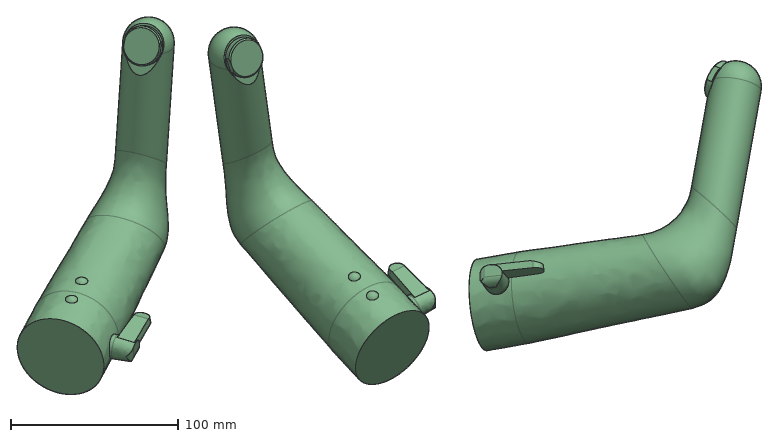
import cadquery as cq
import math


body_radius = 27.5
body_tilt = 4.0
taper_angle = 2.05
width_taper_angle = 1.8
collar_length = 26.5

tube_radius = 15.5
tube_tilt = 10.0
dome_y = 173.55 - tube_radius
dome_z = 122.5

lower_joint_y = 115.8
lower_joint_angle = 120.0
upper_joint_z = 46.0
upper_joint_angle = 135.0
bend_steps = 8
bend_back_fullness = 1.12
bend_width_settles = 0.88

seat_angle = 31.0
seat_y = 149.6
seat_z = 126.45
aerator_diameter = 24.0
aerator_height = 5.0
aerator_chamfer = 0.9
aerator_rim = 0.8
aerator_flats = 22.0

marker_radius = 3.5
marker_height = 1.5
marker_positions = (20.0, 38.0)

hub_y = 17.5
hub_z = 2.1
hub_radius = 7.4
hub_end_height = 12.6
neck_end_x = 28.8
lever_end_x = 41.41
lever_tip_y = 49.2
lever_tip_width = 10.6
lever_thickness = 6.0
lever_draft = 8.0
tip_bevel_y = 42.2
tip_bevel_angle = 15.0
hub_side_round = 3.5
hub_under_round = 5.0


def tangent(angle):
    return math.tan(math.radians(angle))


def direction(angle):
    """Unit (y, z) direction at an angle from +Y."""
    return math.cos(math.radians(angle)), math.sin(math.radians(angle))


def section(seam_point, far_point, half_width):
    """Elliptic wire across the YZ plane, with its axis ends, one at the seam, at two (y, z) points."""
    dy = seam_point[0] - far_point[0]
    dz = seam_point[1] - far_point[1]
    plane = cq.Plane(
        origin=(0, (seam_point[0] + far_point[0]) / 2, (seam_point[1] + far_point[1]) / 2),
        xDir=(0, dy, dz),
        normal=(0, -dz, dy),
    )
    return cq.Workplane(plane).ellipse(math.hypot(dy, dz) / 2, half_width).wire().val()


def crossing(start, start_angle, joint, joint_angle):
    """Point where two (y, z) lines cross."""
    ay, az = direction(start_angle)
    by, bz = direction(joint_angle)
    reach = ((joint[0] - start[0]) * bz - (joint[1] - start[1]) * by) / (ay * bz - az * by)
    return start[0] + reach * ay, start[1] + reach * az


def blend(start, start_angle, end, end_angle, t, fullness=1.0):
    """Point on a cubic close to an arc that leaves and arrives in the given directions."""
    turn = math.radians(end_angle - start_angle)
    pull = fullness * math.dist(start, end) * 2 * math.tan(turn / 4) / math.sin(turn / 2)
    weights = (2 * t**3 - 3 * t**2 + 1, t**3 - 2 * t**2 + t, 3 * t**2 - 2 * t**3, t**3 - t**2)
    leave = direction(start_angle)
    arrive = direction(end_angle)
    return tuple(
        weights[0] * start[i] + weights[1] * pull * leave[i]
        + weights[2] * end[i] + weights[3] * pull * arrive[i]
        for i in range(2)
    )


collar_half_height = body_radius / math.cos(math.radians(body_tilt))
collar_z = collar_length * tangent(body_tilt)
collar_top = (collar_length, collar_z + collar_half_height)
collar_bottom = (collar_length, collar_z - collar_half_height)
top_angle = body_tilt - taper_angle
bottom_angle = body_tilt + taper_angle
tube_angle = 90 - tube_tilt

lower_joint = (lower_joint_y, lower_joint_y * tangent(body_tilt))
lower_joint_top = crossing(collar_top, top_angle, lower_joint, lower_joint_angle)
lower_joint_bottom = crossing(collar_bottom, bottom_angle, lower_joint, lower_joint_angle)
lower_joint_half_width = body_radius - (lower_joint_y - collar_length) * tangent(width_taper_angle)

dome_center = (dome_y, dome_z)
tube_across = direction(-tube_tilt)
tube_front = tuple(dome_center[i] - tube_radius * tube_across[i] for i in range(2))
tube_back = tuple(dome_center[i] + tube_radius * tube_across[i] for i in range(2))
upper_joint = (dome_y - (dome_z - upper_joint_z) * tangent(tube_tilt), upper_joint_z)
upper_joint_front = crossing(tube_front, tube_angle, upper_joint, upper_joint_angle)
upper_joint_back = crossing(tube_back, tube_angle, upper_joint, upper_joint_angle)

seat_plane = cq.Plane(
    origin=(0, seat_y, seat_z),
    xDir=(1, 0, 0),
    normal=(0, -math.cos(math.radians(seat_angle)), math.sin(math.radians(seat_angle))),
)


def bend_section(t):
    """Section of the bend at t, from 0 at the lower joint to 1 at the upper joint."""
    front = blend(lower_joint_top, top_angle, upper_joint_front, tube_angle, t)
    back = blend(lower_joint_bottom, bottom_angle, upper_joint_back, tube_angle, t, bend_back_fullness)
    settled = min(1, t / bend_width_settles)
    ease = settled**2 * (3 - 2 * settled)
    return section(front, back, lower_joint_half_width + (tube_radius - lower_joint_half_width) * ease)


def make_marker(y):
    """Shallow dome standing on the top line of the body."""
    if y < collar_length:
        z = collar_half_height + y * tangent(body_tilt)
    else:
        z = collar_top[1] + (y - collar_length) * tangent(top_angle)
    sphere_radius = (marker_radius**2 + marker_height**2) / (2 * marker_height)
    return cq.Workplane().sphere(sphere_radius).translate((0, y, z + marker_height - sphere_radius))


def make_tube():
    """Round tube from the dome down to the slanted upper joint."""
    down = cq.Plane(
        origin=(0, dome_y, dome_z),
        xDir=(0, *tube_across),
        normal=(0, *(-part for part in direction(tube_angle))),
    )
    joint = cq.Plane(origin=(0, *upper_joint), xDir=(1, 0, 0), normal=(0, *direction(upper_joint_angle - 90)))
    full_length = 2 * (dome_z - upper_joint_z)
    tube = cq.Workplane(down).circle(tube_radius).extrude(full_length)
    above_joint = cq.Workplane(joint).rect(full_length, full_length).extrude(full_length)
    return tube.intersect(above_joint)


def make_body():
    """Collar, taper, bend, tube and dome in one solid, with the seat cut and the markers added."""
    foot = section((0, collar_half_height), (0, -collar_half_height), body_radius)
    collar = section(collar_top, collar_bottom, body_radius)
    bend = [bend_section(i / bend_steps) for i in range(bend_steps + 1)]
    dome = cq.Workplane().sphere(tube_radius).translate((0, dome_y, dome_z))
    body = cq.Workplane(cq.Solid.makeLoft([foot, collar], True))
    body = body.union(cq.Workplane(cq.Solid.makeLoft([collar, bend[0]], True)))
    body = body.union(cq.Workplane(cq.Solid.makeLoft(bend)))
    body = body.union(make_tube()).union(dome)
    in_front_of_seat = cq.Workplane(seat_plane).circle(2 * tube_radius).extrude(tube_radius)
    body = body.cut(in_front_of_seat)
    for y in marker_positions:
        body = body.union(make_marker(y))
    return body


def make_aerator():
    """Chamfered disc on the seat, with two wrench flats facing +X and -X."""
    aerator = cq.Workplane(seat_plane).circle(aerator_diameter / 2).extrude(aerator_height)
    aerator = aerator.faces(cq.selectors.DirectionMinMaxSelector(seat_plane.zDir)).chamfer(aerator_chamfer)
    flats = (
        cq.Workplane(seat_plane).workplane(offset=aerator_rim)
        .rect(2 * aerator_diameter, 2 * aerator_diameter)
        .rect(aerator_flats, 2 * aerator_diameter)
        .extrude(aerator_height)
    )
    return aerator.cut(flats)


def rounded_corner(sketch, corner_x, corner, radius):
    """Cut path that follows a quarter round, then closes through the sharp outer corner."""
    mid = radius * (1 - math.sqrt(0.5))
    return (
        sketch.moveTo(corner_x, corner + radius)
        .threePointArc((corner_x - mid, corner + mid), (corner_x - radius, corner))
        .lineTo(corner_x - radius, corner - radius)
        .lineTo(corner_x + radius, corner - radius)
        .lineTo(corner_x + radius, corner + radius)
        .close()
    )


def make_hub():
    """Round neck along X that flattens towards the outer end."""
    neck = cq.Workplane("YZ", origin=(0, hub_y, hub_z)).circle(hub_radius).extrude(neck_end_x)
    flattened = (
        cq.Workplane("YZ", origin=(neck_end_x, hub_y, hub_z))
        .circle(hub_radius)
        .workplane(offset=lever_end_x - neck_end_x)
        .ellipse(hub_radius, hub_end_height / 2)
        .loft(ruled=True)
    )
    side_round = rounded_corner(cq.Workplane("XY"), lever_end_x, hub_y - hub_radius, hub_side_round)
    under_round = rounded_corner(cq.Workplane("XZ"), lever_end_x, hub_z - hub_end_height / 2, hub_under_round)
    hub = neck.union(flattened)
    hub = hub.cut(side_round.extrude(4 * hub_radius, both=True))
    return hub.cut(under_round.extrude(4 * hub_y, both=True))


def above_blade_top(start_y, fall_angle):
    """Block above a plane that falls towards +X, and towards +Y by an angle from a line at start_y."""
    slope = math.atan2(hub_radius - hub_end_height / 2, lever_end_x - neck_end_x)
    fall = math.radians(fall_angle)
    plane = cq.Plane(
        origin=(neck_end_x, start_y, hub_z + hub_radius),
        xDir=(math.cos(slope), 0, -math.sin(slope)),
        normal=(math.sin(slope) * math.cos(fall), math.sin(fall), math.cos(slope) * math.cos(fall)),
    )
    block_size = 4 * lever_tip_y
    return cq.Workplane(plane).rect(block_size, block_size).extrude(lever_thickness)


def make_blade():
    """Drafted arm along Y with a rounded tip; its top falls towards +X and again at the tip."""
    tip_radius = lever_tip_width / 2
    tip_start_x = lever_end_x - lever_tip_width
    tip_shoulder_y = lever_tip_y - tip_radius
    start_y = hub_y - lever_thickness * tangent(lever_draft)
    blade = (
        cq.Workplane("XY", origin=(0, 0, hub_z + hub_radius - lever_thickness))
        .moveTo(neck_end_x, start_y)
        .lineTo(lever_end_x, start_y)
        .lineTo(lever_end_x, tip_shoulder_y)
        .threePointArc((lever_end_x - tip_radius, lever_tip_y), (tip_start_x, tip_shoulder_y))
        .close()
        .extrude(lever_thickness, taper=lever_draft)
    )
    return blade.cut(above_blade_top(hub_y, 0)).cut(above_blade_top(tip_bevel_y, tip_bevel_angle))


def make_lever(body):
    """Lever whose neck ends on the outer surface of the body."""
    return make_hub().union(make_blade()).cut(body)


body = make_body()
aerator = make_aerator()
lever = make_lever(body)
result = cq.Compound.makeCompound([part.solids().val() for part in (body, aerator, lever)])